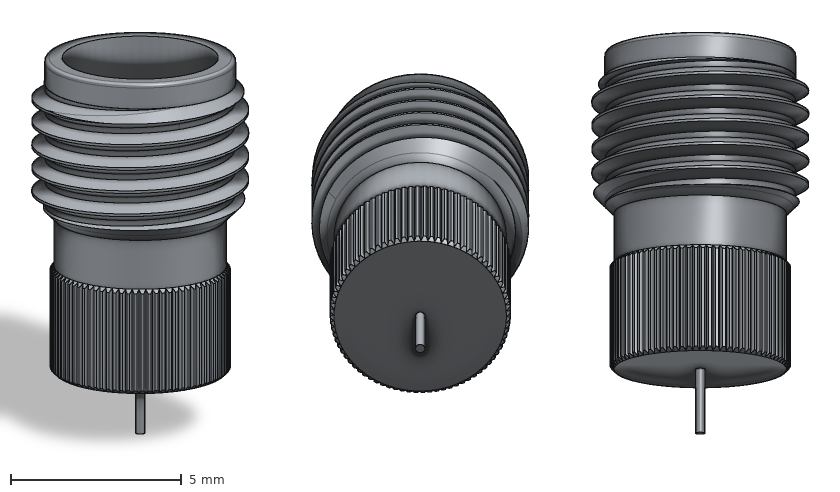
import cadquery as cq
import math


total_height = 11.43
knurl_bottom = 1.92
knurl_top = 5.1
neck_top = 6.58
thread_top = 10.66

pin_radius = 0.14

knurl_radius = 2.64
knurl_root_radius = 2.54
knurl_chamfer = 0.11
knurl_count = 80
knurl_crest_width = 0.08

neck_radius = 2.53
land_radius = 2.8
root_radius = 2.79
crest_radius = 3.18
rim_fillet = 0.13

crest_flat = 0.08
flank_angle = 30.0
lowest_crest = 7.59
highest_crest = 9.7
full_turns = 3
pitch = (highest_crest - lowest_crest) / full_turns
lead_in_turns = 2
ridge_embed = 0.06
trim_clearance = 0.11

bore_radius = 2.29
floor_radius = 2.17
bore_wall_depth = 1.78
floor_chamfer = bore_radius - floor_radius
contact_radius = 0.47
contact_depth = 2.29


def cylinder(radius, bottom, top):
    return cq.Workplane("XY").workplane(offset=bottom).circle(radius).extrude(top - bottom)


def make_knurl():
    """Chamfered drum with V grooves cut along its whole length."""
    half_tooth = math.pi / knurl_count
    half_crest = knurl_crest_width / 2 / knurl_radius
    points = []
    for tooth in range(knurl_count):
        crest_angle = 2 * half_tooth * tooth
        tooth_corners = (
            (knurl_root_radius, crest_angle - half_tooth),
            (knurl_radius, crest_angle - half_crest),
            (knurl_radius, crest_angle + half_crest),
        )
        for radius, angle in tooth_corners:
            points.append((radius * math.cos(angle), radius * math.sin(angle)))
    base = cq.Workplane("XY").workplane(offset=knurl_bottom)
    toothed = base.polyline(points).close().extrude(knurl_top - knurl_bottom)
    drum = cylinder(knurl_radius, knurl_bottom, knurl_top).edges().chamfer(knurl_chamfer)
    return toothed.intersect(drum)


def make_barrel():
    """Neck, 45 degree cone, threaded core and plain rim."""
    cone_height = root_radius - neck_radius
    neck = cylinder(neck_radius, knurl_bottom, neck_top)
    core = cylinder(root_radius, neck_top, thread_top).faces("<Z").chamfer(cone_height)
    rim = cylinder(land_radius, thread_top, total_height).faces(">Z").edges().fillet(rim_fillet)
    return neck.union(core).union(rim)


def make_thread():
    """Helical ridge trimmed by 45 degree cones at both ends."""
    half_crest = crest_flat / 2
    inner_radius = root_radius - ridge_embed
    half_base = half_crest + (crest_radius - inner_radius) * math.tan(math.radians(flank_angle))
    turns = math.ceil((thread_top - neck_top) / pitch) + lead_in_turns
    start = lowest_crest - lead_in_turns * pitch
    path = cq.Wire.makeHelix(pitch, turns * pitch, inner_radius, cq.Vector(0, 0, start))
    ridge = (
        cq.Workplane("XZ")
        .moveTo(inner_radius, start - half_base)
        .lineTo(crest_radius, start - half_crest)
        .lineTo(crest_radius, start + half_crest)
        .lineTo(inner_radius, start + half_base)
        .close()
        .sweep(cq.Workplane(path), isFrenet=True)
    )
    trim_radius = crest_radius + trim_clearance
    envelope = (
        cq.Workplane("XZ")
        .moveTo(0, neck_top)
        .lineTo(neck_radius, neck_top)
        .lineTo(trim_radius, neck_top + trim_radius - neck_radius)
        .lineTo(trim_radius, thread_top - (trim_radius - land_radius))
        .lineTo(land_radius, thread_top)
        .lineTo(0, thread_top)
        .close()
        .revolve(360, (0, 0, 0), (0, 1, 0))
    )
    return ridge.intersect(envelope)


def make_socket():
    """Open bore with a bevelled floor and a blind contact hole in its centre."""
    floor = total_height - bore_wall_depth - floor_chamfer
    bore = cylinder(bore_radius, floor, total_height).faces("<Z").chamfer(floor_chamfer)
    return bore.union(cylinder(contact_radius, floor - contact_depth, floor))


pin = cylinder(pin_radius, 0, knurl_bottom)
result = make_barrel().union(make_thread()).union(make_knurl()).union(pin).cut(make_socket())